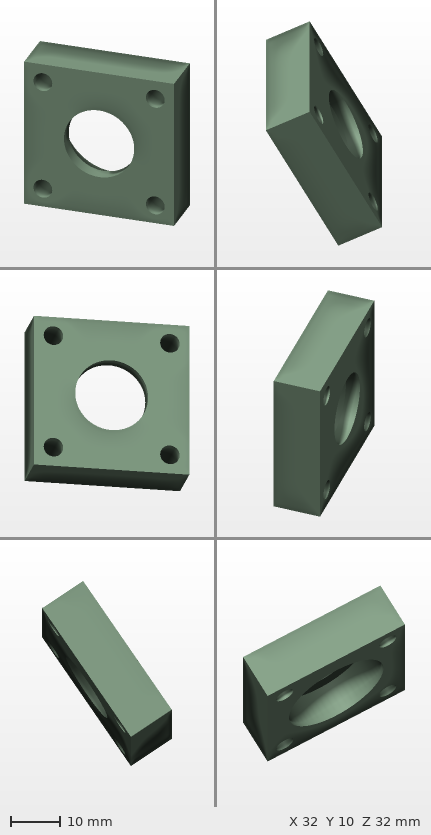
import cadquery as cq

side = 32.0
thickness = 10.0

bore_diameter = 15.0
seat_diameter = 22.0
lip_thickness = 3.0
seat_depth = thickness - lip_thickness

mount_diameter = 4.0
mount_spacing = 24.0

plate = cq.Workplane("XZ").rect(side, side).extrude(thickness)

bore = cq.Workplane("XZ").circle(bore_diameter / 2).extrude(thickness)
seat = cq.Workplane("XZ").circle(seat_diameter / 2).extrude(seat_depth)

mount_holes = (
    cq.Workplane("XZ")
    .rect(mount_spacing, mount_spacing, forConstruction=True)
    .vertices()
    .circle(mount_diameter / 2)
    .extrude(thickness)
)

result = plate.cut(bore).cut(seat).cut(mount_holes)